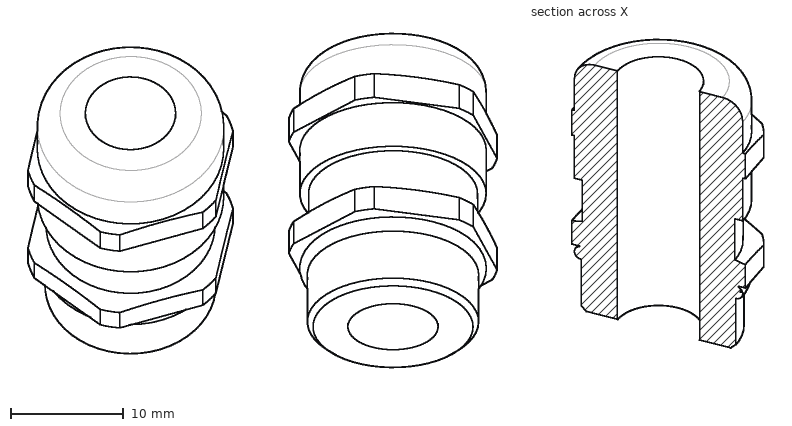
import cadquery as cq
import math

total_height = 26.2
bore_radius = 4.0

thread_radius = 7.6
thread_chamfer = 0.5

ring_bottom = 5.35
ring_height = 1.35

across_flats = 17.0
corner_radius = 9.35
hex_sides = 6
hex_cone_angle = 13.0
lower_hex_bottom = ring_bottom + ring_height
lower_hex_edge = 9.0
upper_hex_bottom = 18.2
upper_hex_edge = 20.64

neck_radius = 7.5

nut_bottom = 13.7
nut_radius = 8.27
dome_fillet = 2.0


def cylinder(radius, bottom, top):
    return cq.Workplane("XY").workplane(offset=bottom).circle(radius).extrude(top - bottom)


def hexagon(bottom, edge_height, inner_radius):
    """Hexagon with turned corners and a shallow cone rising to inner_radius."""
    cone_rise = (corner_radius - inner_radius) * math.tan(math.radians(hex_cone_angle))
    cone_top = edge_height + cone_rise
    across_corners = across_flats / math.cos(math.pi / hex_sides)
    prism = (
        cq.Workplane("XY")
        .workplane(offset=bottom)
        .polygon(hex_sides, across_corners)
        .extrude(cone_top - bottom)
    )
    turned_blank = (
        cq.Workplane("XZ")
        .moveTo(0, bottom)
        .lineTo(corner_radius, bottom)
        .lineTo(corner_radius, edge_height)
        .lineTo(inner_radius, cone_top)
        .lineTo(0, cone_top)
        .close()
        .revolve(360, (0, 0), (0, 1))
    )
    return prism.intersect(turned_blank)


def sealing_ring():
    """O-ring seated on the thread, showing a half-round section outside it."""
    ring_top = ring_bottom + ring_height
    section_radius = ring_height / 2
    outermost_point = (thread_radius + section_radius, ring_bottom + section_radius)
    return (
        cq.Workplane("XZ")
        .moveTo(0, ring_bottom)
        .lineTo(thread_radius, ring_bottom)
        .threePointArc(outermost_point, (thread_radius, ring_top))
        .lineTo(0, ring_top)
        .close()
        .revolve(360, (0, 0), (0, 1))
    )


def threaded_entry():
    return cylinder(thread_radius, 0, lower_hex_bottom).faces("<Z").chamfer(thread_chamfer)


def dome_nut():
    barrel = cylinder(nut_radius, nut_bottom, total_height).faces(">Z").edges().fillet(dome_fillet)
    return barrel.union(hexagon(upper_hex_bottom, upper_hex_edge, nut_radius))


gland = threaded_entry()
gland = gland.union(sealing_ring())
gland = gland.union(hexagon(lower_hex_bottom, lower_hex_edge, neck_radius))
gland = gland.union(cylinder(neck_radius, lower_hex_bottom, nut_bottom))
gland = gland.union(dome_nut())

result = gland.cut(cylinder(bore_radius, 0, total_height))